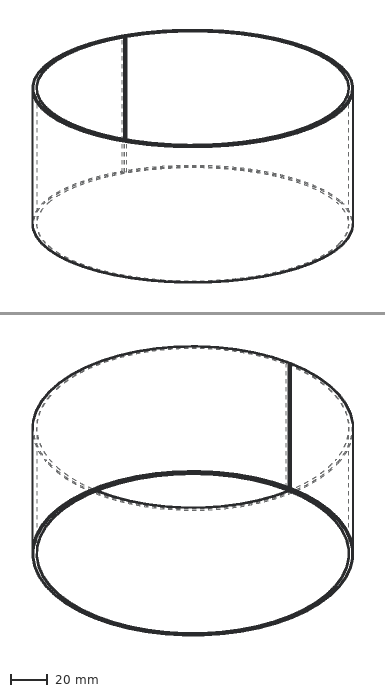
import cadquery as cq

outer_diameter = 175.0
wall_thickness = 2.5
length = 80.0

outer_bevel = 0.5
inner_bevel = 0.2

split_width = 1.5

outer_radius = outer_diameter / 2
inner_radius = outer_radius - wall_thickness
half_length = length / 2


def make_sleeve():
    """Full tube centred on the origin, bevelled at both outer and both inner rims."""
    outer_bevel_start = half_length - outer_bevel
    inner_bevel_start = half_length - inner_bevel
    section = (
        cq.Workplane("XZ")
        .moveTo(inner_radius + inner_bevel, -half_length)
        .lineTo(outer_radius - outer_bevel, -half_length)
        .lineTo(outer_radius, -outer_bevel_start)
        .lineTo(outer_radius, outer_bevel_start)
        .lineTo(outer_radius - outer_bevel, half_length)
        .lineTo(inner_radius + inner_bevel, half_length)
        .lineTo(inner_radius, inner_bevel_start)
        .lineTo(inner_radius, -inner_bevel_start)
        .close()
    )
    return section.revolve(360, (0, 0, 0), (0, 1, 0))


def make_split_cutter():
    """Thin slab reaching from the axis out through the -X wall."""
    return (
        cq.Workplane("XY")
        .box(outer_diameter, split_width, length, centered=(True, False, True))
        .translate((-outer_radius, 0, 0))
    )


result = make_sleeve().cut(make_split_cutter())